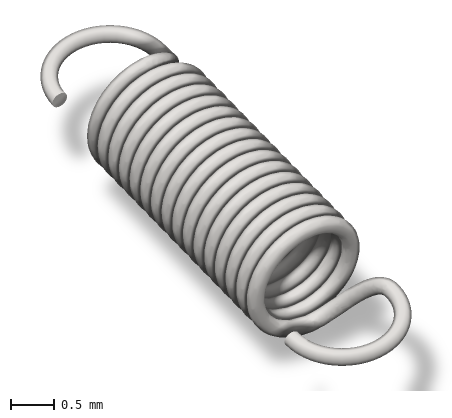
import cadquery as cq
import math

overall_length = 6.35
outer_diameter = 1.6
wire_diameter = 0.205
coil_length = 3.38
turns = 15.5

wire_radius = wire_diameter / 2
mean_radius = (outer_diameter - wire_diameter) / 2
pitch = coil_length / turns
hook_center_x = -(overall_length - outer_diameter) / 2
bend_handle = mean_radius * 4 / 3 * math.tan(math.pi / 8)


def sweep_wire(path, start, direction):
    """Sweep the round wire section along a path from its start point."""
    section = cq.Workplane(cq.Plane(origin=start, normal=direction)).circle(wire_radius)
    return section.sweep(path, isFrenet=True)


def make_coil():
    """Right-handed coil along X, starting at the top and ending at the bottom."""
    helix = cq.Wire.makeHelix(pitch, coil_length, mean_radius)
    rise_per_radian = pitch / (2 * math.pi)
    coil = sweep_wire(helix, (mean_radius, 0, 0), (0, mean_radius, rise_per_radian))
    return coil.rotate((0, 0, 0), (1, 0, 1), 180).translate((-coil_length / 2, 0, 0))


def make_left_hook():
    """Half-round hook in the X-Y plane and the bend joining it to the coil."""
    coil_end = cq.Vector(-coil_length / 2, 0, mean_radius)
    hook_start = cq.Vector(hook_center_x, mean_radius, 0)
    hook_middle = cq.Vector(hook_center_x - mean_radius, 0, 0)
    hook_tip = cq.Vector(hook_center_x, -mean_radius, 0)

    coil_tangent = cq.Vector(-pitch / (2 * math.pi), mean_radius, 0).normalized()
    hook_tangent = cq.Vector(-1, 0, 0)
    bend_path = cq.Edge.makeBezier(
        [
            coil_end,
            coil_end + coil_tangent * bend_handle,
            hook_start - hook_tangent * bend_handle,
            hook_start,
        ]
    )
    hook_path = cq.Edge.makeThreePointArc(hook_start, hook_middle, hook_tip)

    bend = sweep_wire(cq.Wire.assembleEdges([bend_path]), coil_end, coil_tangent)
    hook = sweep_wire(cq.Wire.assembleEdges([hook_path]), hook_start, hook_tangent)
    return bend.union(hook)


left_hook = make_left_hook()
right_hook = left_hook.rotate((0, 0, 0), (0, 1, 0), 180)
result = make_coil().union(left_hook).union(right_hook)